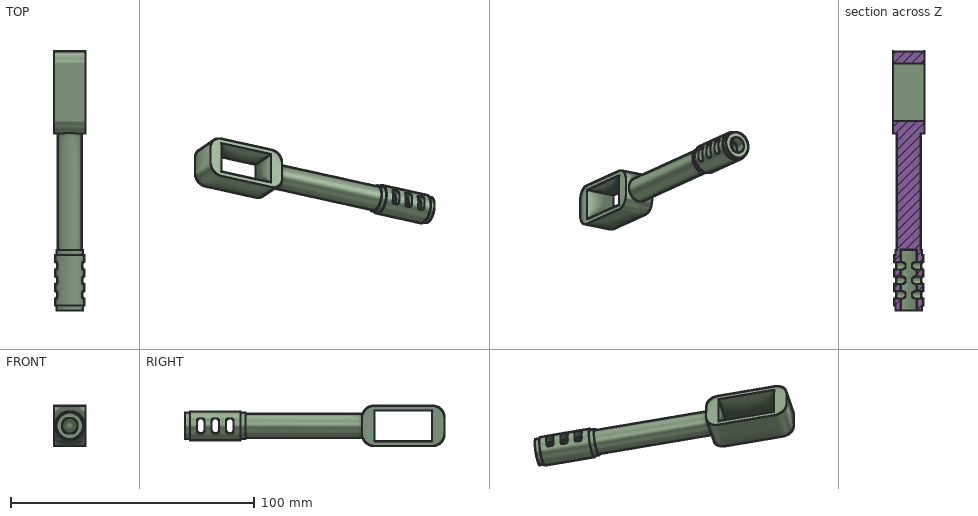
import cadquery as cq

total_length = 106.8

eye_width = 13.0
eye_length = 34.0
eye_height = 16.7
eye_corner_radius = 5.0
window_length = 23.5
window_height = 12.6

rod_diameter = 10.0

sleeve_length = 25.0
sleeve_diameter = 12.0
collar_diameter = 11.0
collar_length = 2.0
bore_diameter = 6.5

slot_count = 3
slot_width = 3.0
slot_height = 6.0
slot_pitch = 6.0
slot_corner_radius = 1.1

tip_y = -total_length / 2
sleeve_end_y = tip_y + sleeve_length
sleeve_center_y = tip_y + sleeve_length / 2
eye_start_y = total_length / 2 - eye_length
eye_center_y = eye_start_y + eye_length / 2


def cylinder_along_y(diameter, start_y, end_y):
    start = cq.Vector(0, start_y, 0)
    solid = cq.Solid.makeCylinder(diameter / 2, end_y - start_y, start, cq.Vector(0, 1, 0))
    return cq.Workplane(obj=solid)


def make_eye():
    """Block with rounded edges along X and a rectangular window through X."""
    block = cq.Workplane().box(eye_width, eye_length, eye_height).edges("|X").fillet(eye_corner_radius)
    window = cq.Workplane().box(eye_width, window_length, window_height)
    return block.cut(window).translate((0, eye_center_y, 0))


def make_sleeve():
    """Stepped sleeve body; the bore and slots are cut separately."""
    collars = cylinder_along_y(collar_diameter, tip_y, sleeve_end_y)
    barrel = cylinder_along_y(sleeve_diameter, tip_y + collar_length, sleeve_end_y - collar_length)
    return collars.union(barrel)


def make_slots():
    """Row of slots through X, long in Z, with rounded corners."""
    return (
        cq.Workplane("YZ")
        .center(sleeve_center_y, 0)
        .rarray(slot_pitch, 1.1, slot_count, 1)
        .rect(slot_width, slot_height)
        .extrude(sleeve_diameter, both=True)
        .edges("|X")
        .fillet(slot_corner_radius)
    )


rod = cylinder_along_y(rod_diameter, sleeve_end_y, eye_start_y + eye_corner_radius)
bore = cylinder_along_y(bore_diameter, tip_y, sleeve_end_y)

result = make_eye().union(rod).union(make_sleeve()).cut(bore).cut(make_slots())